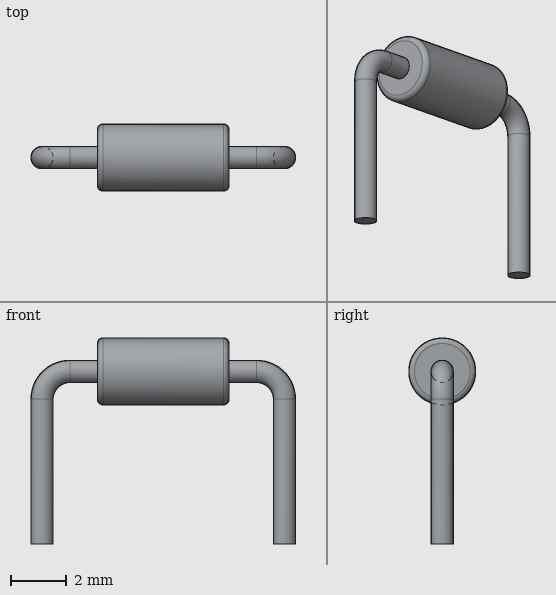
import cadquery as cq

overall_length = 9.5
overall_height = 7.4
body_diameter = 2.4
body_length = 4.72
body_edge_radius = 0.2
wire_diameter = 0.8
bend_radius = 1.0

leg_x = (overall_length - wire_diameter) / 2
leg_tip_z = body_diameter / 2 - overall_height


def make_body():
    """Cylinder along X with rounded end edges."""
    return (
        cq.Workplane("YZ", origin=(-body_length / 2, 0, 0))
        .circle(body_diameter / 2)
        .extrude(body_length)
        .edges("%CIRCLE")
        .fillet(body_edge_radius)
    )


def make_lead_wire():
    """One round wire up the left leg, through the body and down the right leg."""
    path = (
        cq.Workplane("XZ")
        .moveTo(-leg_x, leg_tip_z)
        .lineTo(-leg_x, -bend_radius)
        .radiusArc((-leg_x + bend_radius, 0), bend_radius)
        .lineTo(leg_x - bend_radius, 0)
        .radiusArc((leg_x, -bend_radius), bend_radius)
        .lineTo(leg_x, leg_tip_z)
    )
    return (
        cq.Workplane("XY", origin=(-leg_x, 0, leg_tip_z))
        .circle(wire_diameter / 2)
        .sweep(path)
    )


result = make_body().union(make_lead_wire())